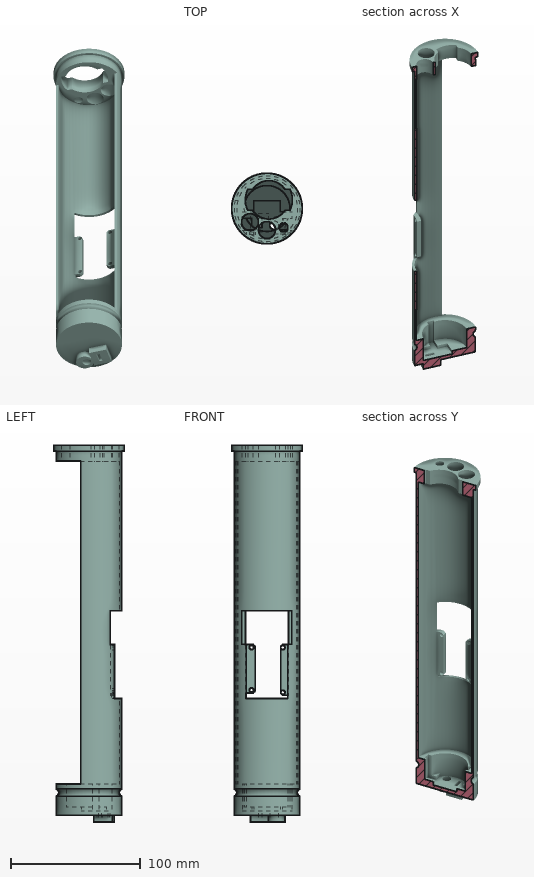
import cadquery as cq

total_height = 290.7
base_bottom = 5.2
groove_bottom = 19.8
groove_top = 25.5
base_top = 29.5
lower_window_bottom = 95.5
upper_window_bottom = 137.0
upper_window_top = 162.8
cap_bottom = 278.2
flange_thickness = 4.7

body_diameter = 51.0
neck_diameter = 46.8
tube_bore = 46.8
flange_diameter = 54.7

back_cut_y = 6.5
upper_window_y = -16.5
lower_window_width = 32.0

rail_front_y = -19.8
rail_depth = 3.5
rail_corner = 1.7
rail_hole_diameter = 3.2
rail_end_margin = 2.3
left_rail = {"inner": -9.0, "hole": -12.0, "bottom": 99.5}
right_rail = {"inner": 10.5, "hole": 12.2, "bottom": 97.7}

battery_center = (1.5, 6.7)
battery_diameter = 29.7
tab_diameter = 36.3
tab_height = 16.0
cap_holes = [
    (-13.0, -10.5, 13.0),
    (0.0, -16.5, 13.0),
    (12.8, -14.5, 6.7),
]

pocket_diameter = 35.5
pocket_floor = 11.5
recess_floor = 8.7
back_recess_width = 20.4
front_recess_width = 23.8
recess_back_y = 5.8
channel_width = 38.5
channel_back_y = -2.3
channel_front_y = -7.5

box_center = (-5.8, -10.8)
box_size = (14.0, 14.5)
slot_center = (-5.2, -10.8)
slot_size = (2.5, 7.5)
round_plug_center = (7.3, -12.8)
round_plug_diameter = 13.5
passage_center = (5.5, -12.8)
passage_diameter = 6.7


def cylinder(diameter, bottom, top, center=(0, 0)):
    return cq.Workplane("XY", origin=(*center, bottom)).circle(diameter / 2).extrude(top - bottom)


def block(x_range, y_range, z_range):
    """Box between the given limits along each axis."""
    ranges = (x_range, y_range, z_range)
    size = [high - low for low, high in ranges]
    return cq.Workplane("XY").box(*size, centered=False).translate([low for low, high in ranges])


def centered_block(center, size, bottom, top):
    return cq.Workplane("XY", origin=(*center, bottom)).rect(*size).extrude(top - bottom)


def make_body():
    """Solid turned body: grooved base, plain shaft and end flange."""
    radius = body_diameter / 2
    flange_radius = flange_diameter / 2
    flange_bottom = total_height - flange_thickness
    groove_middle = (groove_bottom + groove_top) / 2
    return (
        cq.Workplane("XZ")
        .moveTo(0, base_bottom)
        .lineTo(radius, base_bottom)
        .lineTo(radius, groove_bottom)
        .threePointArc((neck_diameter / 2, groove_middle), (radius, groove_top))
        .lineTo(radius, flange_bottom)
        .lineTo(flange_radius, flange_bottom)
        .lineTo(flange_radius, total_height)
        .lineTo(0, total_height)
        .close()
        .revolve(360, (0, 0, 0), (0, 1, 0))
    )


def cut_tube(body):
    """Hollow the shaft, open its back and cut a stepped window in its front."""
    reach = flange_diameter
    half_width = lower_window_width / 2
    bore = cylinder(tube_bore, base_top, cap_bottom)
    back = block((-reach, reach), (back_cut_y, reach), (base_top, cap_bottom))
    upper_window = block(
        (-reach, reach), (-reach, upper_window_y), (upper_window_bottom, upper_window_top)
    )
    lower_window = block(
        (-half_width, half_width), (-reach, 0), (lower_window_bottom, upper_window_bottom)
    )
    return body.cut(bore).cut(back).cut(upper_window).cut(lower_window)


def cut_cap(body):
    """Battery opening and round holes through the end cap."""
    band = centered_block(battery_center, (tab_diameter, tab_height), cap_bottom, total_height)
    tabs = cylinder(tab_diameter, cap_bottom, total_height, battery_center).intersect(band)
    body = body.cut(cylinder(battery_diameter, cap_bottom, total_height, battery_center)).cut(tabs)
    for x, y, diameter in cap_holes:
        body = body.cut(cylinder(diameter, cap_bottom, total_height, (x, y)))
    return body


def cut_base_pocket(body):
    """Round pocket in the base, crossed by a channel, with a stepped recess in its floor."""
    pocket = cylinder(pocket_diameter, pocket_floor, base_top)
    channel = block(
        (-channel_width / 2, channel_width / 2),
        (channel_front_y, channel_back_y),
        (recess_floor, base_top),
    )
    back_recess = block(
        (-back_recess_width / 2, back_recess_width / 2),
        (channel_back_y, recess_back_y),
        (recess_floor, pocket_floor),
    )
    front_recess = block(
        (-front_recess_width / 2, front_recess_width / 2),
        (-pocket_diameter / 2, channel_front_y),
        (recess_floor, pocket_floor),
    ).intersect(cylinder(pocket_diameter, recess_floor, pocket_floor))
    return body.cut(pocket).cut(channel).cut(back_recess).cut(front_recess)


def add_plugs(body):
    """Rectangular and round plugs under the base, each with a passage up into the pocket."""
    body = body.union(centered_block(box_center, box_size, 0, base_bottom))
    body = body.union(cylinder(round_plug_diameter, 0, base_bottom, round_plug_center))
    body = body.cut(centered_block(slot_center, slot_size, 0, pocket_floor))
    return body.cut(cylinder(passage_diameter, 0, pocket_floor, passage_center))


def make_rail(rail):
    """Flat strip beside the lower window, joined to the tube wall, with a screw hole at each end."""
    side = 1 if rail["inner"] > 0 else -1
    outer = side * (lower_window_width / 2 + 0.5)
    strip = block(
        sorted((rail["inner"], outer)),
        (rail_front_y, rail_front_y + rail_depth),
        (rail["bottom"], upper_window_bottom),
    )
    inner_edges = "<X" if side > 0 else ">X"
    strip = strip.faces(inner_edges).edges("|Y").chamfer(rail_corner)
    for height in (rail["bottom"] + rail_end_margin, upper_window_bottom - rail_end_margin):
        hole = (
            cq.Workplane("XZ", origin=(rail["hole"], rail_front_y + rail_depth, height))
            .circle(rail_hole_diameter / 2)
            .extrude(rail_depth)
        )
        strip = strip.cut(hole)
    return strip.intersect(cylinder(body_diameter, rail["bottom"], upper_window_bottom))


result = cut_tube(make_body())
result = cut_cap(result)
result = cut_base_pocket(result)
result = add_plugs(result)
for rail in (left_rail, right_rail):
    result = result.union(make_rail(rail))